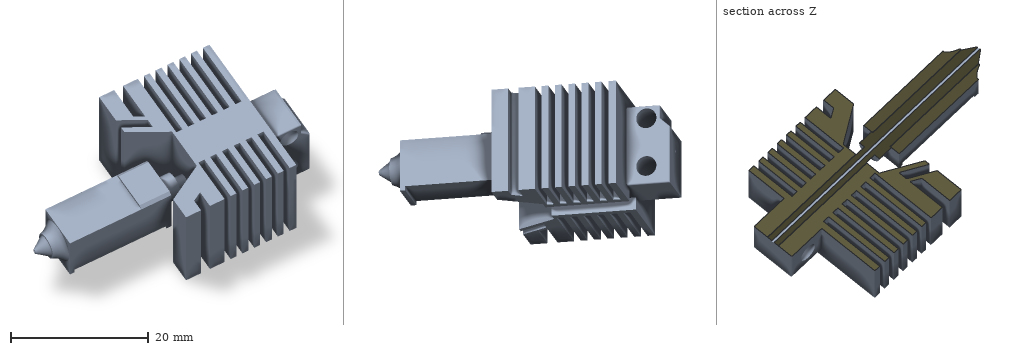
import cadquery as cq
import math


sink_left = 14.25
sink_right = 10.7
sink_height = 15.7
sink_length = 18.6
web_length = 12.6

fin_slot_count = 6
fin_slot_pitch = 2.0
fin_slot_width = 1.0
rear_fin_thickness = 1.1
core_half_width = 3.15

leg_angle = 30
leg_run = math.tan(math.radians(leg_angle))
recess_half_width = 3.55
recess_mouth = recess_half_width + (sink_length - web_length) * leg_run
notch_rear = 14.57
notch_front = 16.1
thin_leg_width = 0.97
leg_slit_width = 1.45
leg_bridge_width = 0.75
slit_inner = recess_mouth + thin_leg_width
slit_outer = slit_inner + leg_slit_width
notch_edge = slit_outer + leg_bridge_width

mount_width = 7.55
mount_height = 11.95
mount_length = 6.42
mount_step_length = 4.95
step_bottom = 4.0
slope_bottom = 2.65
step_bevel_length = 0.35
step_bevel_drop = 0.1
mount_edge_radius = 0.2
mount_hole_diameter = 3.0
mount_hole_y = 2.92
mount_hole_heights = (4.08, -3.25)

channel_width = 4.0
channel_depth = (sink_height - mount_height) / 2

block_width = 7.1
block_rear = -16.9
block_front = -34.0
lip_length = 0.8
lip_height = 0.6
pad_length = 5.05
pad_height = 0.4
pad_top_width = 6.02
flare_base_radius = 3.3
flare_end_radius = 2.0
flare_end = -35.93
flare_hollow = 0.18

neck_radius = 1.0
collar_radius = 2.0
collar_rear = -14.3
core_radius = 1.7
tip_radius = 0.35
tip_y = mount_length - 44.3
bore_radius = 0.2


def box(x_min, x_max, y_min, y_max, z_min, z_max):
    """Box given by its limits along each axis."""
    size = (x_max - x_min, y_max - y_min, z_max - z_min)
    return cq.Workplane("XY").box(*size, centered=False).translate((x_min, y_min, z_min))


def revolve_about_nozzle_axis(outline):
    """Revolve an outline drawn in X (radius) and Y about the Y axis."""
    return outline.close().revolve(360, (0, 0, 0), (0, 1, 0))


def full_height_prism(points):
    """Prism through the whole heatsink height."""
    return cq.Workplane("XY").workplane(offset=-sink_height / 2).polyline(points).close().extrude(sink_height)


def leaning_x(front_x, depth):
    """X of a leg edge at a distance from the rear face, from its X at the leg's front end."""
    return front_x - (sink_length - depth) * leg_run


def make_fin_slot(index):
    """Pair of slots beside the core, one on each side."""
    y_rear = -(rear_fin_thickness + index * fin_slot_pitch)
    y_front = y_rear - fin_slot_width
    half_height = sink_height / 2
    left = box(-sink_left, -core_half_width, y_front, y_rear, -half_height, half_height)
    right = box(core_half_width, sink_right, y_front, y_rear, -half_height, half_height)
    return left.union(right)


def make_recess():
    """V-shaped recess between the two legs."""
    return full_height_prism([
        (-recess_half_width, -web_length),
        (recess_half_width, -web_length),
        (recess_mouth, -sink_length),
        (-recess_mouth, -sink_length),
    ])


def make_side_notch(side, outer_x):
    """Notch in a leg from its outer side; side is -1 for -X and 1 for +X."""
    return full_height_prism([
        (side * outer_x, -notch_rear),
        (side * leaning_x(notch_edge, notch_rear), -notch_rear),
        (side * leaning_x(notch_edge, notch_front), -notch_front),
        (side * outer_x, -notch_front),
    ])


def make_leg_slit():
    """Leaning slit that leaves a thin inner leg on the -X side."""
    return full_height_prism([
        (-slit_inner, -sink_length),
        (-leaning_x(slit_inner, notch_rear), -notch_rear),
        (-leaning_x(slit_outer, notch_rear), -notch_rear),
        (-slit_outer, -sink_length),
    ])


def make_mount():
    """Stepped mounting block with rounded side edges and two cross holes."""
    half_height = mount_height / 2
    profile = [
        (0, -half_height),
        (mount_length, -half_height),
        (mount_length, slope_bottom),
        (mount_step_length, step_bottom),
        (mount_step_length, half_height - step_bevel_drop),
        (mount_step_length - step_bevel_length, half_height),
        (0, half_height),
    ]
    mount = cq.Workplane("YZ").polyline(profile).close().extrude(mount_width / 2, both=True)
    outline_edges = mount.faces("<X or >X").edges("not(<Y)")
    mount = outline_edges.fillet(mount_edge_radius)
    holes = (
        cq.Workplane("YZ")
        .pushPoints([(mount_hole_y, z) for z in mount_hole_heights])
        .circle(mount_hole_diameter / 2)
        .extrude(mount_width, both=True)
    )
    return mount.cut(holes)


def make_heatsink():
    half_height = sink_height / 2
    sink = box(-sink_left, sink_right, -sink_length, 0, -half_height, half_height)
    for index in range(fin_slot_count):
        sink = sink.cut(make_fin_slot(index))
    sink = sink.cut(make_recess())
    sink = sink.cut(make_side_notch(-1, sink_left))
    sink = sink.cut(make_side_notch(1, sink_right))
    sink = sink.cut(make_leg_slit())
    channel = box(
        -channel_width / 2, channel_width / 2,
        -sink_length, 0,
        -half_height, -half_height + channel_depth,
    )
    sink = sink.cut(channel).union(make_mount())
    neck_hole = cq.Workplane("XZ").circle(neck_radius).extrude(sink_length + mount_length, both=True)
    return sink.cut(neck_hole)


def make_flare():
    """Hollow-sided flare around the nozzle at the front of the block."""
    chord_radius = flare_base_radius - flare_end_radius
    chord_length = block_front - flare_end
    chord = math.hypot(chord_radius, chord_length)
    middle = (
        (flare_base_radius + flare_end_radius) / 2 - flare_hollow * chord_length / chord,
        (block_front + flare_end) / 2 + flare_hollow * chord_radius / chord,
    )
    outline = (
        cq.Workplane("XY")
        .moveTo(0, block_front)
        .lineTo(flare_base_radius, block_front)
        .threePointArc(middle, (flare_end_radius, flare_end))
        .lineTo(0, flare_end)
    )
    return revolve_about_nozzle_axis(outline)


def make_pad():
    """Raised pad with sloping sides on the rear of the block top."""
    half_width = block_width / 2
    profile = [
        (-half_width, half_width),
        (half_width, half_width),
        (pad_top_width / 2, half_width + pad_height),
        (-pad_top_width / 2, half_width + pad_height),
    ]
    return cq.Workplane("XZ", origin=(0, block_rear, 0)).polyline(profile).close().extrude(pad_length)


def make_heater_block():
    half_width = block_width / 2
    block = box(-half_width, half_width, block_front, block_rear, -half_width, half_width)
    for lip_front in (block_front, block_rear - lip_length):
        lip = box(
            -half_width, half_width,
            lip_front, lip_front + lip_length,
            -half_width - lip_height, -half_width,
        )
        block = block.union(lip)
    block = block.union(make_pad()).union(make_flare())
    core_hole = cq.Workplane("XZ", origin=(0, block_rear, 0)).circle(core_radius).extrude(block_rear - flare_end)
    return block.cut(core_hole)


def make_nozzle():
    """Bored tube: neck in the heatsink, collar, core in the block and conical tip."""
    outline = cq.Workplane("XY").polyline([
        (bore_radius, mount_length),
        (neck_radius, mount_length),
        (neck_radius, collar_rear),
        (collar_radius, collar_rear),
        (collar_radius, block_rear),
        (core_radius, block_rear),
        (core_radius, flare_end),
        (tip_radius, tip_y),
        (bore_radius, tip_y),
    ])
    return revolve_about_nozzle_axis(outline)


heatsink = make_heatsink().solids()
heater_block = make_heater_block().solids()
nozzle = make_nozzle().solids()

result = cq.Compound.makeCompound([heatsink.val(), heater_block.val(), nozzle.val()])